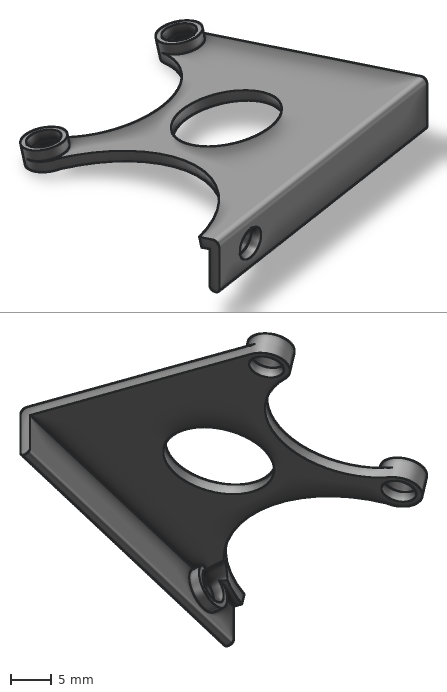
import cadquery as cq
import math

LENGTH = 43.2
TILT = 13.7
THICKNESS = 1.5
WALL_DROP = 8.15
TOP_ROUND = 0.8
BOTTOM_ROUND = 0.65

BOSS_RADIUS = 6.0 / 2
BORE_DIAMETER = 4.5
NARROW_HOLE_DIAMETER = 4.4
RING_HEIGHT = THICKNESS
BOSS_SPACING = 28.05
BOSS_DISTANCE = 37.18
WALL_BOSS_Y = -36.7
WALL_BOSS_Z = -4.15

WINDOW_DIAMETER = 14.08
WINDOW_DISTANCE = 19.1
END_ARC_RADIUS = 11.5
SIDE_ARC_RADIUS = 18.22
SIDE_ARC_DISTANCE = 21.3
SIDE_ARC_Y = -45.5
HEEL_RADIUS = 3.1
HEEL_OFFSET = 0.35

rear_boss = (-BOSS_DISTANCE, -BOSS_RADIUS)
front_boss = (-BOSS_DISTANCE, -BOSS_RADIUS - BOSS_SPACING)
middle_y = (rear_boss[1] + front_boss[1]) / 2
side_arc_center = (-SIDE_ARC_DISTANCE, SIDE_ARC_Y)
slope = math.radians(TILT)

plate_plane = cq.Plane(
    origin=(0, 0, 0),
    xDir=(math.cos(slope), 0, math.sin(slope)),
    normal=(-math.sin(slope), 0, math.cos(slope)),
)


def polar(center, radius, angle):
    """Point on a circle at an angle in radians."""
    return center[0] + radius * math.cos(angle), center[1] + radius * math.sin(angle)


def make_plate():
    """Sloping plate whose end arc is tangent to both boss circles."""
    center_gap = END_ARC_RADIUS + BOSS_RADIUS
    end_arc_x = -BOSS_DISTANCE - math.sqrt(center_gap**2 - (BOSS_SPACING / 2) ** 2)
    end_arc_center = (end_arc_x, middle_y)
    tangent_angle = math.atan2(BOSS_SPACING / 2, -BOSS_DISTANCE - end_arc_x)
    rear_tangent = polar(end_arc_center, END_ARC_RADIUS, tangent_angle)
    front_tangent = polar(end_arc_center, END_ARC_RADIUS, -tangent_angle)

    heel_center = (front_boss[0] + HEEL_OFFSET, front_boss[1])
    heel_start_x = (BOSS_RADIUS**2 - HEEL_RADIUS**2 + HEEL_OFFSET**2) / (2 * HEEL_OFFSET)
    heel_start = polar(front_boss, BOSS_RADIUS, -math.acos(heel_start_x / BOSS_RADIUS))
    heel_middle = polar(heel_center, HEEL_RADIUS, -math.pi / 2)
    heel_dx = heel_center[0] - side_arc_center[0]
    heel_dy = heel_center[1] - side_arc_center[1]
    heel_gap = math.hypot(heel_dx, heel_dy)
    cosine = (heel_gap**2 + SIDE_ARC_RADIUS**2 - HEEL_RADIUS**2) / (2 * heel_gap * SIDE_ARC_RADIUS)
    side_arc_start_angle = math.atan2(heel_dy, heel_dx) - math.acos(cosine)
    side_arc_start = polar(side_arc_center, SIDE_ARC_RADIUS, side_arc_start_angle)

    side_arc_top = polar(side_arc_center, SIDE_ARC_RADIUS, math.pi / 2)
    corner_angle = math.asin((-LENGTH - SIDE_ARC_Y) / SIDE_ARC_RADIUS)
    side_arc_end = polar(side_arc_center, SIDE_ARC_RADIUS, corner_angle)

    wall_joint = -THICKNESS
    return (
        cq.Workplane(plate_plane)
        .moveTo(wall_joint, 0)
        .lineTo(-BOSS_DISTANCE, 0)
        .threePointArc(polar(rear_boss, BOSS_RADIUS, math.pi), rear_tangent)
        .threePointArc(polar(end_arc_center, END_ARC_RADIUS, 0), front_tangent)
        .threePointArc(polar(front_boss, BOSS_RADIUS, math.pi), heel_start)
        .threePointArc(heel_middle, side_arc_start)
        .threePointArc(side_arc_top, side_arc_end)
        .lineTo(wall_joint, -LENGTH)
        .close()
        .extrude(-THICKNESS)
    )


def make_ring(center):
    """Raised disc drawn as two half circles, with a vertex where it touches the plate edge."""
    rear_point = polar(center, BOSS_RADIUS, math.pi / 2)
    front_point = polar(center, BOSS_RADIUS, -math.pi / 2)
    return (
        cq.Workplane(plate_plane)
        .moveTo(*rear_point)
        .threePointArc(polar(center, BOSS_RADIUS, math.pi), front_point)
        .threePointArc(polar(center, BOSS_RADIUS, 0), rear_point)
        .close()
        .extrude(RING_HEIGHT)
    )


def make_wall():
    """Upright wall with a sloped, rounded top and a rounded bottom."""
    wall = (
        cq.Workplane("XZ")
        .polyline([
            (0, 0),
            (0, -WALL_DROP),
            (-THICKNESS, -WALL_DROP),
            (-THICKNESS, -THICKNESS * math.tan(slope)),
        ])
        .close()
        .extrude(LENGTH)
    )
    wall = wall.edges("|Y and <Z").fillet(BOTTOM_ROUND)
    return wall.edges("|Y and >Z").fillet(TOP_ROUND)


boss_centers = [rear_boss, front_boss]
plate_top = cq.Workplane(plate_plane)
rings = make_ring(rear_boss).union(make_ring(front_boss))
ring_bores = plate_top.pushPoints(boss_centers).circle(BORE_DIAMETER / 2).extrude(RING_HEIGHT)
plate_holes = plate_top.pushPoints(boss_centers).circle(NARROW_HOLE_DIAMETER / 2).extrude(-THICKNESS)
window = plate_top.center(-WINDOW_DISTANCE, middle_y).circle(WINDOW_DIAMETER / 2).extrude(-THICKNESS)

wall_boss_center = cq.Workplane("YZ").center(WALL_BOSS_Y, WALL_BOSS_Z)
wall_boss = (
    wall_boss_center.workplane(offset=-THICKNESS / 2)
    .circle(BOSS_RADIUS)
    .extrude(-THICKNESS / 2 - RING_HEIGHT)
)
wall_hole = wall_boss_center.circle(NARROW_HOLE_DIAMETER / 2).extrude(-BOSS_DISTANCE)
wall_bore = (
    wall_boss_center.workplane(offset=-THICKNESS)
    .circle(BORE_DIAMETER / 2)
    .extrude(THICKNESS - BOSS_DISTANCE)
)

body = make_plate().union(rings).union(make_wall()).union(wall_boss)
result = body.cut(plate_holes).cut(ring_bores).cut(window).cut(wall_hole).cut(wall_bore)